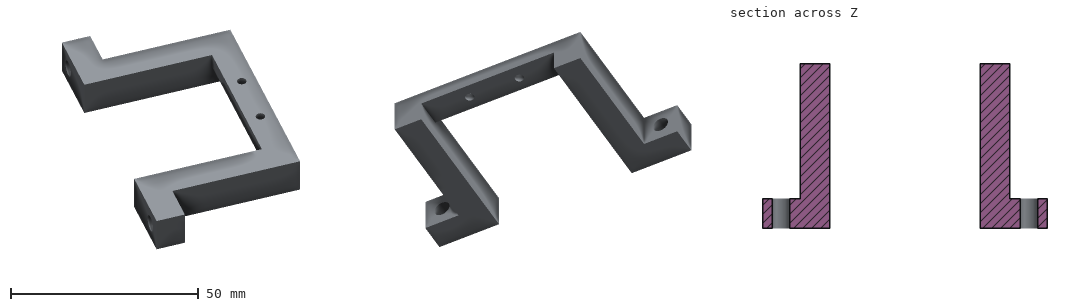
import cadquery as cq

length = 76.0
depth = 44.0
height = 10.0

frame_width = 56.0
wall = 8.0
bridge_thickness = 4.0
opening_width = frame_width - 2 * wall

bridge_hole_diameter = 2.5
bridge_hole_spacing = 15.0
foot_hole_diameter = 4.5
foot_hole_end_distance = 5.0


def block(width, front, back, bottom, top):
    """Box centred on X, spanning the given Y and Z limits."""
    return (
        cq.Workplane("XY", origin=(0, (front + back) / 2, bottom))
        .box(width, back - front, top - bottom, centered=(True, True, False))
    )


frame = block(frame_width, 0, depth, 0, height)
feet = block(length, 0, wall, 0, height)
body = frame.union(feet)

body = body.cut(block(opening_width, 0, depth - wall, 0, height))
body = body.cut(block(opening_width, depth - wall, depth, 0, height - bridge_thickness))

foot_hole_x = length / 2 - foot_hole_end_distance
for side in (-1, 1):
    bridge_hole = (
        cq.Workplane("XY")
        .center(side * bridge_hole_spacing / 2, depth - wall / 2)
        .circle(bridge_hole_diameter / 2)
        .extrude(height)
    )
    foot_hole = (
        cq.Workplane("XZ")
        .center(side * foot_hole_x, height / 2)
        .circle(foot_hole_diameter / 2)
        .extrude(-wall)
    )
    body = body.cut(bridge_hole).cut(foot_hole)

result = body